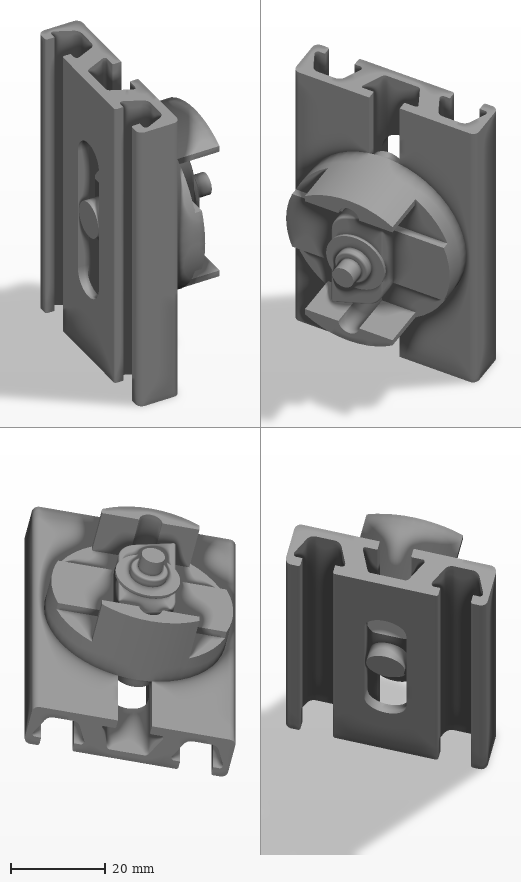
import cadquery as cq
import math


RAIL_WIDTH = 44.0
RAIL_DEPTH = 10.0
RAIL_LENGTH = 70.0
WALL = 2.1
RAIL_CORNER_RADIUS = 1.5
LIP_EDGE_RADIUS = 0.5
DOVETAIL_WALL_ANGLE = 25.0

CHANNEL_CENTER_X = 15.05
CHANNEL_OPENING = 7.15
CHANNEL_NARROW_WIDTH = 6.6
CHANNEL_ACUTE_RADIUS = 0.7
CHANNEL_OBTUSE_RADIUS = 1.95

GROOVE_OPENING = 7.35
GROOVE_NARROW_WIDTH = 8.6
GROOVE_ACUTE_RADIUS = 0.5
GROOVE_OBTUSE_RADIUS = 1.0
GROOVE_LIP_RADIUS = 0.3

SCREW_Z = 15.0
SCREW_HOLE_DIAMETER = 5.05
SLOT_WIDTH = 9.2

HOUSING_DIAMETER = 39.4
FLOOR_HEIGHT = 5.7
SEAT_HEIGHT = 7.35
SEAT_LENGTH = 14.85
EAR_WIDTH = 21.1
EAR_HEIGHT = 15.9
EAR_INNER_Z = 15.2
BOSS_DIAMETER = 8.95

SLIDER_WIDTH = 12.45
SLIDER_LENGTH = 14.85
SLIDER_HEIGHT = 4.5
SLIDER_SIDE_RADIUS = 5.0

SHANK_DIAMETER = 5.05
BOLT_END_Y = 18.5
HEAD_DIAMETER = 8.4
HEAD_HEIGHT = 3.35

CLAMP_WIDTH = 12.4
CLAMP_TIP_Z = 14.2
CLAMP_THICKNESS = 5.0
CLAMP_END_ANGLE = 19.0
CLAMP_ROUND_RADIUS = 5.25
CLAMP_EDGE_RADIUS = 0.4

FLANGE_DIAMETER = 14.0
FLANGE_HEIGHT = 0.7
NUT_DIAMETER = 8.0
NUT_HEIGHT = 1.9
NUT_EDGE_RADIUS = 0.4

SELECTION_MARGIN = 0.035

SLIDER_END_Y = -WALL - SLIDER_HEIGHT
CLAMP_END_Y = SEAT_HEIGHT + CLAMP_THICKNESS
FLANGE_END_Y = CLAMP_END_Y + FLANGE_HEIGHT


def cylinder_y(diameter, y_start, y_end, z=0.0):
    """Cylinder along Y from y_start to y_end, centred on X = 0."""
    base = cq.Workplane("XZ", origin=(0, y_start, z))
    return base.circle(diameter / 2).extrude(y_start - y_end)


def box(width, y_start, y_end, z_start, z_end):
    """Box centred on X = 0."""
    center = (0, (y_start + y_end) / 2, (z_start + z_end) / 2)
    return cq.Workplane("XY", origin=center).box(width, y_end - y_start, z_end - z_start)


def rail_block(x_center, width, y_start, y_end):
    """Block over the whole rail length."""
    center = (x_center, (y_start + y_end) / 2, 0)
    return cq.Workplane("XY", origin=center).box(width, y_end - y_start, RAIL_LENGTH)


def dovetail(x_center, narrow_width, narrow_y, wide_y, acute_radius, obtuse_radius):
    """Trapezoid prism over the whole rail length, with its four long edges rounded."""
    spread = abs(wide_y - narrow_y) * math.tan(math.radians(DOVETAIL_WALL_ANGLE))
    narrow = narrow_width / 2
    wide = narrow + spread
    outline = [(-narrow, narrow_y), (narrow, narrow_y), (wide, wide_y), (-wide, wide_y)]
    prism = (
        cq.Workplane("XY", origin=(x_center, 0, -RAIL_LENGTH / 2))
        .polyline(outline)
        .close()
        .extrude(RAIL_LENGTH)
    )
    lower, upper = ("<Y", ">Y") if narrow_y < wide_y else (">Y", "<Y")
    prism = prism.faces(lower).edges("|Z").fillet(obtuse_radius)
    return prism.faces(upper).edges("|Z").fillet(acute_radius)


def edges_along_z(body, x, y):
    """Select the long edges at +x and -x at the height y."""
    reach = SELECTION_MARGIN
    at_plus_x = cq.selectors.BoxSelector(
        (x - reach, y - reach, -RAIL_LENGTH), (x + reach, y + reach, RAIL_LENGTH)
    )
    at_minus_x = cq.selectors.BoxSelector(
        (-x - reach, y - reach, -RAIL_LENGTH), (-x + reach, y + reach, RAIL_LENGTH)
    )
    return body.edges("|Z").edges(at_plus_x + at_minus_x)


def make_rail():
    inner_y = WALL - RAIL_DEPTH
    rail = rail_block(0, RAIL_WIDTH, -RAIL_DEPTH, 0)
    rail = rail.edges("|Z").fillet(RAIL_CORNER_RADIUS)

    for side in (-1, 1):
        x = side * CHANNEL_CENTER_X
        rail = rail.cut(
            dovetail(x, CHANNEL_NARROW_WIDTH, -WALL, inner_y, CHANNEL_ACUTE_RADIUS, CHANNEL_OBTUSE_RADIUS)
        )
        rail = rail.cut(rail_block(x, CHANNEL_OPENING, -RAIL_DEPTH, inner_y))
    for offset in (-CHANNEL_OPENING / 2, CHANNEL_OPENING / 2):
        rail = edges_along_z(rail, CHANNEL_CENTER_X + offset, -RAIL_DEPTH).fillet(LIP_EDGE_RADIUS)

    rail = rail.cut(
        dovetail(0, GROOVE_NARROW_WIDTH, inner_y, -WALL, GROOVE_ACUTE_RADIUS, GROOVE_OBTUSE_RADIUS)
    )
    rail = rail.cut(rail_block(0, GROOVE_OPENING, -WALL, 0))
    rail = edges_along_z(rail, GROOVE_OPENING / 2, -WALL).fillet(GROOVE_LIP_RADIUS)

    access_slot = (
        cq.Workplane("XZ", origin=(0, -RAIL_DEPTH, 0))
        .slot2D(2 * SCREW_Z + SLOT_WIDTH, SLOT_WIDTH, 90)
        .extrude(WALL - RAIL_DEPTH)
    )
    return rail.cut(access_slot)


def make_housing():
    radius = HOUSING_DIAMETER / 2
    housing = cylinder_y(HOUSING_DIAMETER, 0, EAR_HEIGHT)
    seat = box(HOUSING_DIAMETER, 0, SEAT_HEIGHT, -SEAT_LENGTH / 2, SEAT_LENGTH / 2)
    kept = box(HOUSING_DIAMETER, 0, FLOOR_HEIGHT, -radius, radius).union(seat)
    for z_start, z_end in ((-radius, -EAR_INNER_Z), (EAR_INNER_Z, radius)):
        kept = kept.union(box(EAR_WIDTH, 0, EAR_HEIGHT, z_start, z_end))
    housing = housing.intersect(kept)

    groove_opening = box(GROOVE_OPENING, -WALL, 0, -radius, radius)
    for z in (-SCREW_Z, SCREW_Z):
        housing = housing.union(cylinder_y(BOSS_DIAMETER, -WALL, 0, z).intersect(groove_opening))
    for z in (-SCREW_Z, SCREW_Z):
        housing = housing.cut(cylinder_y(SCREW_HOLE_DIAMETER, -WALL, EAR_HEIGHT, z))
    return housing.cut(cylinder_y(SHANK_DIAMETER, 0, SEAT_HEIGHT))


def make_slider():
    """Bar with rounded sides, bored for the bolt shank."""
    half = SLIDER_WIDTH / 2
    arc_center_x = half - SLIDER_SIDE_RADIUS

    def side_point(depth):
        return arc_center_x + math.sqrt(SLIDER_SIDE_RADIUS**2 - depth**2), -WALL - depth

    end_x, end_y = side_point(SLIDER_HEIGHT)
    middle_x, middle_y = side_point(SLIDER_HEIGHT / 2)
    slider = (
        cq.Workplane("XY", origin=(0, 0, -SLIDER_LENGTH / 2))
        .moveTo(-half, -WALL)
        .lineTo(half, -WALL)
        .threePointArc((middle_x, middle_y), (end_x, end_y))
        .lineTo(-end_x, end_y)
        .threePointArc((-middle_x, middle_y), (-half, -WALL))
        .close()
        .extrude(SLIDER_LENGTH)
    )
    return slider.cut(cylinder_y(SHANK_DIAMETER, SLIDER_END_Y, -WALL))


def make_bolt():
    head = cylinder_y(HEAD_DIAMETER, SLIDER_END_Y - HEAD_HEIGHT, SLIDER_END_Y)
    return head.union(cylinder_y(SHANK_DIAMETER, SLIDER_END_Y, BOLT_END_Y))


def make_clamp():
    """Parallelogram plate: two sharp tips and two well-rounded corners."""
    half = CLAMP_WIDTH / 2
    blunt_z = CLAMP_TIP_Z - CLAMP_WIDTH * math.tan(math.radians(CLAMP_END_ANGLE))
    outline = [(-half, CLAMP_TIP_Z), (half, blunt_z), (half, -CLAMP_TIP_Z), (-half, -blunt_z)]
    clamp = (
        cq.Workplane("XZ", origin=(0, SEAT_HEIGHT, 0))
        .polyline(outline)
        .close()
        .extrude(-CLAMP_THICKNESS)
    )
    clamp = clamp.edges("|Y").edges("<Z or >Z").fillet(CLAMP_EDGE_RADIUS)
    reach_z = blunt_z + SELECTION_MARGIN
    blunt_corners = cq.selectors.BoxSelector(
        (-CLAMP_WIDTH, SEAT_HEIGHT, -reach_z), (CLAMP_WIDTH, CLAMP_END_Y, reach_z)
    )
    clamp = clamp.edges("|Y").edges(blunt_corners).fillet(CLAMP_ROUND_RADIUS)
    clamp = clamp.faces(">Y").edges().fillet(CLAMP_EDGE_RADIUS)
    return clamp.cut(cylinder_y(SHANK_DIAMETER, SEAT_HEIGHT, CLAMP_END_Y))


def make_nut():
    collar = cylinder_y(NUT_DIAMETER, FLANGE_END_Y, FLANGE_END_Y + NUT_HEIGHT)
    collar = collar.faces(">Y").edges().fillet(NUT_EDGE_RADIUS)
    nut = cylinder_y(FLANGE_DIAMETER, CLAMP_END_Y, FLANGE_END_Y).union(collar)
    return nut.cut(cylinder_y(SHANK_DIAMETER, CLAMP_END_Y, FLANGE_END_Y + NUT_HEIGHT))


rail = make_rail()
housing = make_housing()
slider = make_slider()
bolt = make_bolt()
clamp = make_clamp()
nut = make_nut()

result = cq.Compound.makeCompound(
    [rail.val(), housing.val(), slider.val(), bolt.val(), clamp.val(), nut.val()]
)